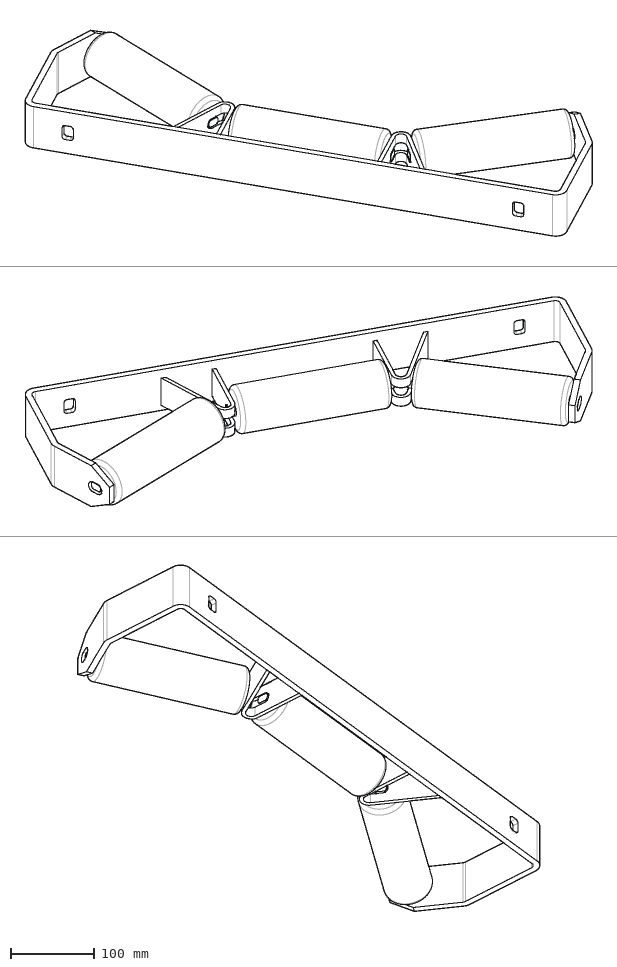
import cadquery as cq
import math

TROUGH_ANGLE = math.radians(30)
ARM_OUT = cq.Vector(-math.cos(TROUGH_ANGLE), math.sin(TROUGH_ANGLE))
ARM_UP = cq.Vector(math.sin(TROUGH_ANGLE), math.cos(TROUGH_ANGLE))

FRAME_WIDTH = 680
FRAME_DEPTH = 203.01
FRAME_HEIGHT = 60
FRAME_THICK = 8
FRAME_BEND = 14
UPRIGHT_TOP = 117.5
TIP_WIDTH = 25
TIP_TAPER = 30
MOUNT_SLOT_X = 283
MOUNT_SLOT_LENGTH = 20
MOUNT_SLOT_WIDTH = 14
MOUNT_SLOT_ROUNDING = 4

ROLLER_DIAMETER = 60
ROLLER_LENGTH = 190
ROLLER_ROUNDING = 5
SHAFT_DIAMETER = 15
SHAFT_LENGTH = 208
SHAFT_FLATS = 10
SHOULDER_GAP = 1
MIDDLE_ROLLER_Y = 71
MIDDLE_ROLLER_Z = -2
TIP_TO_AXIS = 25

SHAFT_SLOT_WIDTH = 14
SHAFT_SLOT_BELOW = 9.4
ARM_SLOT_LENGTH = 21.5

BRACKET_THICK = 5
BRACKET_BEND = 12
BRACKET_HEIGHT = 40
BRACKET_Z = -2.5
BRACKET_TOP = 95
BRACKET_FACE_X = 98.7

low_bend_centre = cq.Vector(-FRAME_WIDTH / 2 + FRAME_BEND, FRAME_BEND)
arm_bend_centre = cq.Vector(low_bend_centre.x, UPRIGHT_TOP)
arm_foot = arm_bend_centre + ARM_OUT * FRAME_BEND
arm_tip = arm_foot + ARM_UP * ((FRAME_DEPTH - arm_foot.y) / ARM_UP.y)
arm_axis_point = arm_tip - ARM_UP * TIP_TO_AXIS
bracket_bend_centre = cq.Vector(-BRACKET_FACE_X - BRACKET_BEND, BRACKET_TOP - BRACKET_BEND)

bracket_leg_offset = bracket_bend_centre.dot(ARM_OUT) + BRACKET_BEND
side_span = arm_axis_point.dot(ARM_OUT) - FRAME_THICK - bracket_leg_offset
arm_end_of_axis = arm_axis_point - ARM_OUT * FRAME_THICK
bracket_end_of_axis = arm_end_of_axis - ARM_OUT * side_span + cq.Vector(0, 0, MIDDLE_ROLLER_Z)


def at(vector):
    return (vector.x, vector.y)


def on_circle(centre, radius, degrees):
    angle = math.radians(degrees)
    return centre + cq.Vector(math.cos(angle), math.sin(angle)) * radius


def mirrored(body):
    return body.mirror("YZ")


def shaft_slot(axis_point, up, out, length, depth):
    """Cutter for a round-ended shaft slot of a given length, reaching depth to both sides of its plane."""
    centre = axis_point + up * (length / 2 - SHAFT_SLOT_BELOW)
    return cq.Workplane(cq.Plane(centre, up, out)).slot2D(length, SHAFT_SLOT_WIDTH).extrude(depth, both=True)


def left_frame_bar():
    inner_bend = FRAME_BEND - FRAME_THICK
    outer_x = -FRAME_WIDTH / 2
    inner_x = outer_x + FRAME_THICK
    arm_bend_middle = 180 - math.degrees(TROUGH_ANGLE) / 2
    low_bend_middle = 225
    return (
        cq.Workplane("XY")
        .moveTo(0, 0)
        .lineTo(low_bend_centre.x, 0)
        .threePointArc(at(on_circle(low_bend_centre, FRAME_BEND, low_bend_middle)), (outer_x, FRAME_BEND))
        .lineTo(outer_x, UPRIGHT_TOP)
        .threePointArc(at(on_circle(arm_bend_centre, FRAME_BEND, arm_bend_middle)), at(arm_foot))
        .lineTo(*at(arm_tip))
        .lineTo(*at(arm_tip - ARM_OUT * FRAME_THICK))
        .lineTo(*at(arm_foot - ARM_OUT * FRAME_THICK))
        .threePointArc(at(on_circle(arm_bend_centre, inner_bend, arm_bend_middle)), (inner_x, UPRIGHT_TOP))
        .lineTo(inner_x, FRAME_BEND)
        .threePointArc(at(on_circle(low_bend_centre, inner_bend, low_bend_middle)),
                       (low_bend_centre.x, FRAME_THICK))
        .lineTo(0, FRAME_THICK)
        .close()
        .extrude(FRAME_HEIGHT / 2, both=True)
    )


def tip_corner(side):
    """Cutter for one tapered corner of the arm tip; side is +1 for the upper, -1 for the lower."""
    edge = side * FRAME_HEIGHT / 2
    return (
        cq.Workplane(cq.Plane(arm_tip, ARM_UP, ARM_OUT))
        .polyline([(0, side * TIP_WIDTH / 2), (0, edge), (-TIP_TAPER, edge)])
        .close()
        .extrude(2 * FRAME_THICK, both=True)
    )


def mount_slot():
    return (
        cq.Workplane("XZ")
        .center(-MOUNT_SLOT_X, 0)
        .rect(MOUNT_SLOT_WIDTH, MOUNT_SLOT_LENGTH)
        .extrude(-FRAME_THICK)
        .edges("|Y")
        .fillet(MOUNT_SLOT_ROUNDING)
    )


def build_frame():
    half = left_frame_bar()
    for side in (1, -1):
        half = half.cut(tip_corner(side))
    half = half.cut(shaft_slot(arm_axis_point, ARM_UP, ARM_OUT, ARM_SLOT_LENGTH, 2 * FRAME_THICK))
    half = half.cut(mount_slot())
    return half.union(mirrored(half))


def build_left_bracket():
    centre = bracket_bend_centre
    inner_bend = BRACKET_BEND - BRACKET_THICK
    bend_middle = (180 - math.degrees(TROUGH_ANGLE)) / 2

    def leg_top(radius):
        return centre + ARM_OUT * radius

    def leg_foot(radius):
        top = leg_top(radius)
        return top - ARM_UP * ((top.y - FRAME_THICK) / ARM_UP.y)

    strip = (
        cq.Workplane("XY")
        .moveTo(*at(leg_foot(BRACKET_BEND)))
        .lineTo(*at(leg_top(BRACKET_BEND)))
        .threePointArc(at(on_circle(centre, BRACKET_BEND, bend_middle)), (centre.x + BRACKET_BEND, centre.y))
        .lineTo(centre.x + BRACKET_BEND, FRAME_THICK)
        .lineTo(centre.x + inner_bend, FRAME_THICK)
        .lineTo(centre.x + inner_bend, centre.y)
        .threePointArc(at(on_circle(centre, inner_bend, bend_middle)), at(leg_top(inner_bend)))
        .lineTo(*at(leg_foot(inner_bend)))
        .close()
        .extrude(BRACKET_HEIGHT / 2, both=True)
    )
    middle_axis_point = cq.Vector(-BRACKET_FACE_X, MIDDLE_ROLLER_Y)
    side_axis_point = arm_end_of_axis - ARM_OUT * side_span
    slot_length = BRACKET_TOP - MIDDLE_ROLLER_Y + 2 * SHAFT_SLOT_WIDTH
    slot_depth = 2 * BRACKET_BEND
    for axis_point, up, out in (
        (middle_axis_point, cq.Vector(0, 1, 0), cq.Vector(1, 0, 0)),
        (side_axis_point, ARM_UP, ARM_OUT),
    ):
        strip = strip.cut(shaft_slot(axis_point, up, out, slot_length, slot_depth))
    return strip.translate((0, 0, BRACKET_Z))


def build_roller(start, end, across):
    """Roller centred between two points on its axis; across lies in the plane of the shaft flats."""
    axis = (end - start).normalized()
    centre = (start + end) * 0.5

    def section(length):
        return cq.Workplane(cq.Plane(centre - axis * (length / 2), across, axis))

    barrel = section(ROLLER_LENGTH).circle(ROLLER_DIAMETER / 2).extrude(ROLLER_LENGTH)
    barrel = barrel.edges("%CIRCLE").fillet(ROLLER_ROUNDING)
    shoulder_length = 2 * (BRACKET_FACE_X - SHOULDER_GAP)
    shoulder = section(shoulder_length).circle(SHAFT_DIAMETER / 2).extrude(shoulder_length)
    flat_bar = section(SHAFT_LENGTH).rect(SHAFT_DIAMETER, SHAFT_FLATS).extrude(SHAFT_LENGTH)
    flat_shaft = section(SHAFT_LENGTH).circle(SHAFT_DIAMETER / 2).extrude(SHAFT_LENGTH).intersect(flat_bar)
    return barrel.union(shoulder).union(flat_shaft)


frame = build_frame()
left_bracket = build_left_bracket()
middle_roller = build_roller(
    cq.Vector(-BRACKET_FACE_X, MIDDLE_ROLLER_Y, MIDDLE_ROLLER_Z),
    cq.Vector(BRACKET_FACE_X, MIDDLE_ROLLER_Y, MIDDLE_ROLLER_Z),
    cq.Vector(0, 1, 0),
)
left_roller = build_roller(bracket_end_of_axis, arm_end_of_axis, ARM_UP)

bodies = [frame.val(), middle_roller.val()]
for left_body in (left_bracket, left_roller):
    bodies.append(left_body.val())
    bodies.append(mirrored(left_body).val())

result = cq.Compound.makeCompound(bodies)